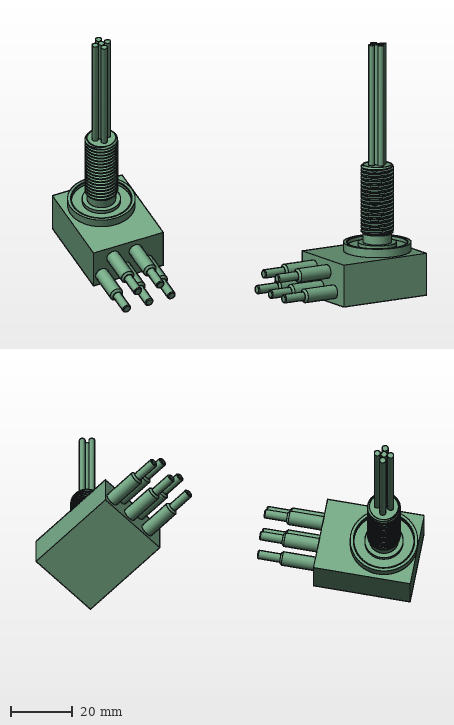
import cadquery as cq
BLOCK_LENGTH = 32.0
BLOCK_WIDTH = 25.0
BLOCK_HEIGHT = 14.0

FLANGE_DIAMETER = 22.0
FLANGE_HEIGHT = 2.8
AXIS_X = FLANGE_DIAMETER / 2
RECESS_DIAMETER = 19.5
RECESS_DEPTH = 1.2
RIM_STEP_DIAMETER = 20.0
RIM_STEP_DEPTH = 0.1
HUB_DIAMETER = 12.5

CORE_DIAMETER = 9.4
NECK_LENGTH = 2.9
THREAD_LENGTH = 23.0
THREAD_DIAMETER = 10.7
THREAD_PITCH = 1.26
THREAD_CREST_WIDTH = 0.4
THREAD_BASE_WIDTH = 1.18
THREAD_ROOT_OVERLAP = 0.1
THREAD_START_ANGLE = 80.0

WIRE_DIAMETER = 2.0
WIRE_SPACING = 2.2
WIRE_LENGTH = 40.0

SLEEVE_DIAMETER = 4.5
SLEEVE_LENGTH = 12.0
SLEEVE_CHAMFER = 0.7
PIN_DIAMETER = 2.8
PIN_LENGTH = 7.5
PIN_CHAMFER = 0.3
PIN_SPACING = 8.0
PIN_ROWS_CENTRE_Y = -1.5
THREE_PIN_ROW_Z = 4.0
TWO_PIN_ROW_Z = 10.0

FLANGE_TOP = BLOCK_HEIGHT + FLANGE_HEIGHT
THREAD_BOTTOM = FLANGE_TOP + NECK_LENGTH
STEM_TOP = THREAD_BOTTOM + THREAD_LENGTH


def stem_plane(height):
    """Workplane across the stem axis at the given height."""
    return cq.Workplane("XY", origin=(AXIS_X, 0, height))


def make_block():
    return cq.Workplane("XY").box(BLOCK_LENGTH, BLOCK_WIDTH, BLOCK_HEIGHT, centered=(False, True, False))


def make_flange():
    flange = stem_plane(BLOCK_HEIGHT).circle(FLANGE_DIAMETER / 2).extrude(FLANGE_HEIGHT)
    recess = stem_plane(FLANGE_TOP - RECESS_DEPTH).circle(RECESS_DIAMETER / 2).extrude(RECESS_DEPTH)
    rim_step = stem_plane(FLANGE_TOP - RIM_STEP_DEPTH).circle(RIM_STEP_DIAMETER / 2).extrude(RIM_STEP_DEPTH)
    hub = stem_plane(FLANGE_TOP - RECESS_DEPTH).circle(HUB_DIAMETER / 2).extrude(RECESS_DEPTH)
    return flange.cut(recess).cut(rim_step).union(hub)


def make_thread():
    """Right-handed helical ridge, trimmed to the threaded length with a bevel at each end."""
    core_radius = CORE_DIAMETER / 2
    thread_depth = (THREAD_DIAMETER - CORE_DIAMETER) / 2
    inner_radius = core_radius - THREAD_ROOT_OVERLAP
    helix = cq.Wire.makeHelix(THREAD_PITCH, THREAD_LENGTH + 2 * THREAD_PITCH, core_radius)
    ridge = (
        cq.Workplane("XZ")
        .moveTo(inner_radius, -THREAD_BASE_WIDTH / 2)
        .lineTo(THREAD_DIAMETER / 2, -THREAD_CREST_WIDTH / 2)
        .lineTo(THREAD_DIAMETER / 2, THREAD_CREST_WIDTH / 2)
        .lineTo(inner_radius, THREAD_BASE_WIDTH / 2)
        .close()
        .sweep(cq.Workplane(helix), isFrenet=True)
        .rotate((0, 0, 0), (0, 0, 1), THREAD_START_ANGLE)
        .translate((AXIS_X, 0, THREAD_BOTTOM - THREAD_PITCH))
    )
    envelope = (
        stem_plane(THREAD_BOTTOM)
        .circle(THREAD_DIAMETER / 2 + THREAD_ROOT_OVERLAP)
        .extrude(THREAD_LENGTH)
        .faces("<Z or >Z")
        .chamfer(thread_depth + 1.5 * THREAD_ROOT_OVERLAP)
    )
    return ridge.intersect(envelope)


def make_stem():
    core = stem_plane(FLANGE_TOP).circle(CORE_DIAMETER / 2).extrude(STEM_TOP - FLANGE_TOP)
    return core.union(make_thread())


def make_wires():
    centres = [
        (0, 0),
        (WIRE_SPACING, 0),
        (-WIRE_SPACING, 0),
        (0, WIRE_SPACING),
        (0, -WIRE_SPACING),
    ]
    return stem_plane(STEM_TOP).pushPoints(centres).circle(WIRE_DIAMETER / 2).extrude(WIRE_LENGTH)


def make_pin(y, z):
    sleeve = (
        cq.Workplane("YZ", origin=(BLOCK_LENGTH, y, z))
        .circle(SLEEVE_DIAMETER / 2)
        .extrude(SLEEVE_LENGTH)
        .faces(">X")
        .chamfer(SLEEVE_CHAMFER)
    )
    pin = (
        cq.Workplane("YZ", origin=(BLOCK_LENGTH + SLEEVE_LENGTH, y, z))
        .circle(PIN_DIAMETER / 2)
        .extrude(PIN_LENGTH)
        .faces(">X")
        .chamfer(PIN_CHAMFER)
    )
    return sleeve.union(pin)


result = make_block().union(make_flange()).union(make_stem()).union(make_wires())

for step in (-1, 0, 1):
    result = result.union(make_pin(PIN_ROWS_CENTRE_Y + step * PIN_SPACING, THREE_PIN_ROW_Z))
for step in (-0.5, 0.5):
    result = result.union(make_pin(PIN_ROWS_CENTRE_Y + step * PIN_SPACING, TWO_PIN_ROW_Z))